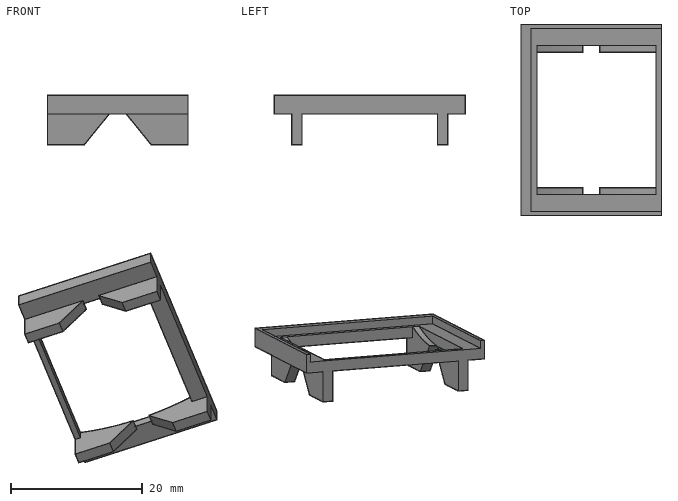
import cadquery as cq

length_x = 21.5
length_y = 29.2
total_height = 7.6
leg_height = 4.7

recess_depth = 1.2
left_rim = 1.52
side_rim = 0.65
floor_z = total_height - recess_depth

window_left = 2.48
window_right = length_x - 0.88
window_y = 22.72

wall_thickness = 1.6
wall_outer_y = 23.83
gap_top = 2.57
gap_bottom = 10.22

seat_middle_x = (window_left + window_right) / 2


def block(x0, x1, width_y, z0, z1):
    """Box from x0 to x1 and z0 to z1, centred on Y."""
    solid = cq.Workplane("XY").box(x1 - x0, width_y, z1 - z0, centered=(False, True, False))
    return solid.translate((x0, 0, z0))


def make_frame():
    plate = block(0, length_x, length_y, leg_height, total_height)
    recess = block(left_rim, length_x, length_y - 2 * side_rim, floor_z, total_height)
    window = block(window_left, window_right, window_y, leg_height, total_height)
    return plate.cut(recess).cut(window)


def make_wall(side):
    """Cross wall at the +Y (side = 1) or -Y (side = -1) end."""
    middle_x = length_x / 2
    half_thickness = wall_thickness / 2

    legs = cq.Workplane("XZ").rect(length_x, leg_height, centered=False).extrude(half_thickness, both=True)
    gap = (
        cq.Workplane("XZ")
        .moveTo(middle_x - gap_bottom / 2, 0)
        .lineTo(middle_x + gap_bottom / 2, 0)
        .lineTo(middle_x + gap_top / 2, leg_height)
        .lineTo(middle_x - gap_top / 2, leg_height)
        .close()
        .extrude(half_thickness, both=True)
    )

    ledges = (
        cq.Workplane("XZ")
        .moveTo(window_left, floor_z)
        .threePointArc((seat_middle_x, leg_height), (window_right, floor_z))
        .lineTo(window_right, 0)
        .lineTo(window_left, 0)
        .close()
        .extrude(half_thickness, both=True)
    )
    gap_above_legs = block(
        middle_x - gap_top / 2, middle_x + gap_top / 2, wall_thickness, leg_height, floor_z
    )
    wall = legs.union(ledges).cut(gap).cut(gap_above_legs)
    return wall.translate((0, side * (wall_outer_y - wall_thickness) / 2, 0))


result = make_frame()
for side in (-1, 1):
    result = result.union(make_wall(side))